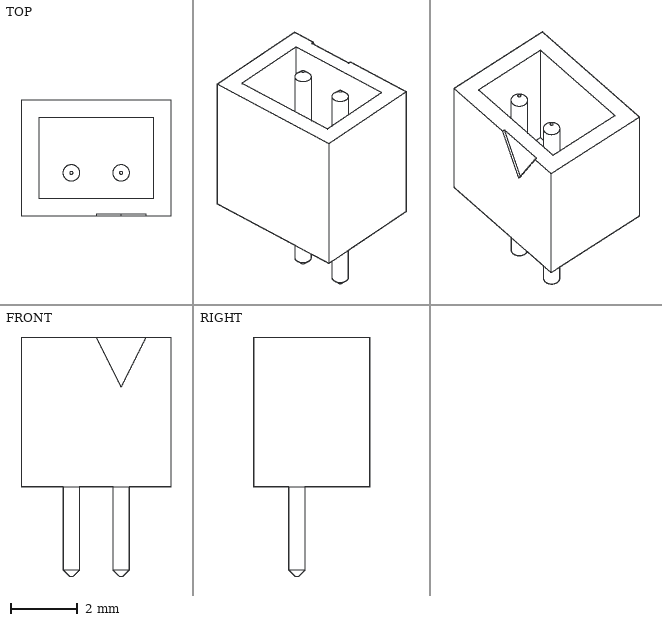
import cadquery as cq

HOUSING_LENGTH = 4.5
HOUSING_WIDTH = 3.5
HOUSING_HEIGHT = 4.5
WALL = 0.525
FLOOR = WALL

PIN_COUNT = 2
PIN_PITCH = 1.5
PIN_DIAMETER = 0.5
PIN_LENGTH = 7.2
PIN_FRONT_OFFSET = 1.3
TIP_HEIGHT = 0.2
TIP_DIAMETER = 0.09

MARK_WIDTH = PIN_PITCH
MARK_HEIGHT = PIN_PITCH
MARK_DEPTH = 0.07

front_y = -HOUSING_WIDTH / 2
pin_y = front_y + PIN_FRONT_OFFSET
pin_bottom_z = HOUSING_HEIGHT - PIN_LENGTH
pin_x_positions = [(i - (PIN_COUNT - 1) / 2) * PIN_PITCH for i in range(PIN_COUNT)]


def make_pin(x):
    """One pin, revolved from its half profile about its vertical axis."""
    radius = PIN_DIAMETER / 2
    tip_radius = TIP_DIAMETER / 2
    return (
        cq.Workplane("XZ")
        .moveTo(0, 0)
        .lineTo(tip_radius, 0)
        .lineTo(radius, TIP_HEIGHT)
        .lineTo(radius, PIN_LENGTH - TIP_HEIGHT)
        .lineTo(tip_radius, PIN_LENGTH)
        .lineTo(0, PIN_LENGTH)
        .close()
        .revolve(360, (0, 0), (0, 1))
        .translate((x, pin_y, pin_bottom_z))
    )


def make_cavity():
    """Rectangular pocket, open at the top, with an equal wall all round."""
    return (
        cq.Workplane("XY", origin=(0, 0, FLOOR))
        .rect(HOUSING_LENGTH - 2 * WALL, HOUSING_WIDTH - 2 * WALL)
        .extrude(HOUSING_HEIGHT - FLOOR)
    )


def make_pin_holes():
    """Holes through the floor that fit the pins."""
    return (
        cq.Workplane("XY")
        .pushPoints([(x, pin_y) for x in pin_x_positions])
        .circle(PIN_DIAMETER / 2)
        .extrude(FLOOR)
    )


def make_mark():
    """Downward-pointing triangle, running out at the rim."""
    mark_x = pin_x_positions[-1]
    return (
        cq.Workplane("XZ", origin=(mark_x, front_y, HOUSING_HEIGHT))
        .moveTo(-MARK_WIDTH / 2, 0)
        .lineTo(MARK_WIDTH / 2, 0)
        .lineTo(0, -MARK_HEIGHT)
        .close()
        .extrude(-MARK_DEPTH)
    )


def make_housing():
    block = cq.Workplane("XY").box(
        HOUSING_LENGTH, HOUSING_WIDTH, HOUSING_HEIGHT, centered=(True, True, False)
    )
    return block.cut(make_cavity()).cut(make_pin_holes()).cut(make_mark())


housing = make_housing()
pins = [make_pin(x) for x in pin_x_positions]

result = cq.Compound.makeCompound([housing.val(), *[pin.val() for pin in pins]])